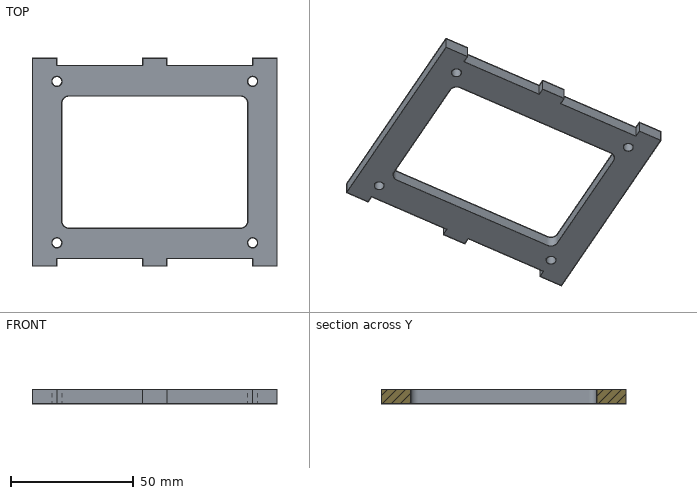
import cadquery as cq

length = 100.0
width = 85.0
thickness = 6.0

tab_length = 10.0
tab_depth = 3.0
tabs_per_edge = 3

window_length = 76.0
window_width = 54.0
window_corner_radius = 3.0

hole_diameter = 4.0
hole_spacing_x = 80.0
hole_spacing_y = 66.0


def make_plate():
    """Full rectangular plate, centred in X and Y and resting on Z = 0."""
    return cq.Workplane("XY").box(length, width, thickness, centered=(True, True, False))


def make_edge_notches():
    """Four shallow notches that leave the tabs standing on the long edges."""
    notch_length = (length - tabs_per_edge * tab_length) / (tabs_per_edge - 1)
    notch_x = (tab_length + notch_length) / 2
    notch_y = (width - tab_depth) / 2
    return (
        cq.Workplane("XY")
        .rect(2 * notch_x, 2 * notch_y, forConstruction=True)
        .vertices()
        .rect(notch_length, tab_depth)
        .extrude(thickness)
    )


def make_window():
    """Rectangular through opening with rounded corners."""
    return (
        cq.Workplane("XY")
        .rect(window_length, window_width)
        .extrude(thickness)
        .edges("|Z")
        .fillet(window_corner_radius)
    )


def make_mounting_holes():
    """Through holes near the four corners."""
    return (
        cq.Workplane("XY")
        .rect(hole_spacing_x, hole_spacing_y, forConstruction=True)
        .vertices()
        .circle(hole_diameter / 2)
        .extrude(thickness)
    )


result = (
    make_plate()
    .cut(make_edge_notches())
    .cut(make_window())
    .cut(make_mounting_holes())
)